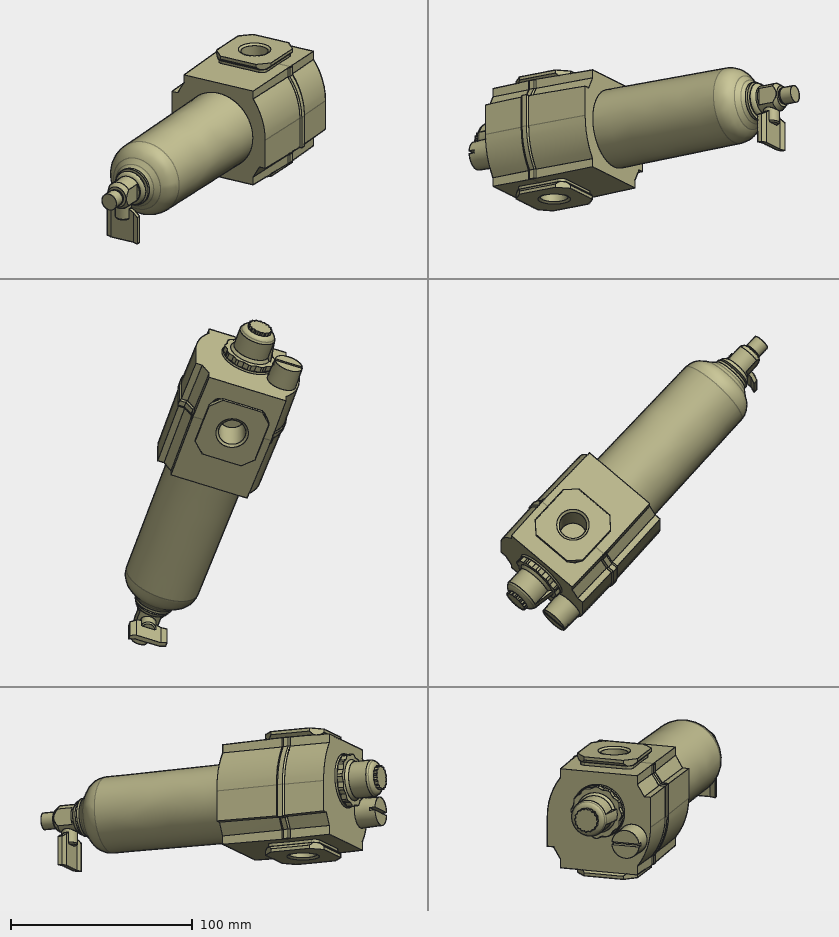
import cadquery as cq
import math


HOUSING_TOP_Y = 25.8
HOUSING_BOTTOM_Y = -38.7
HALF_HEIGHT = 28.7
NECK_HALF_X = 22.8
SIDE_HALF_X = 30.5
NECK_END_Z = 23.5
STEP_X = 26.9
STEP_Z = 17.0
BULGE_START_Z = -0.5
BOTTOM_DRAFT = 0.6
TOP_DRAFT = 0.5
BAND_HEIGHT = 0.6
BAND_HALF_HEIGHT = 28.5
BAND_FLAT_HALF = 1.5
BAND_BASE_HALF = 2.5

PORT_FACE_Z = 34.0
FLANGE_HALF_X = 17.5
FLANGE_HALF_Y = 17.7
FLANGE_CORNER = 6.1
FLANGE_RIM = 1.8
FLANGE_SLOPE = 1.8
PORT_NECK_HALF = 15.3
PORT_NECK_FILLET = 3.3
PORT_NECK_EMBED = 2.0
PORT_RADIUS = 7.5
PORT_MOUTH_RADIUS = 9.0
PORT_MOUTH_DEPTH = 1.0
PORT_DEPTH = 20.4

BOWL_TOP_RADIUS = 22.0
BOWL_END_RADIUS = 21.2
DOME_START_Y = -116.5
DOME_END_Y = -126.2
DOME_END_RADIUS = 15.0
CONE_END_RADIUS = 12.2
CONE_END_Y = -128.6
BOWL_LIP_RADIUS = 10.5
BOWL_LIP_Y = -130.5
BOWL_BOTTOM_Y = -131.9

COLLAR_TOP_RADIUS = 8.3
COLLAR_RADIUS = 9.8
COLLAR_RIM_Y = -133.0
COLLAR_BULGE_RADIUS = 9.2
COLLAR_BULGE_Y = -134.5
VALVE_RADIUS = 7.7
VALVE_TOP_Y = -135.5
VALVE_CHAMFER_Y = -145.3
VALVE_BOTTOM_Y = -148.0
VALVE_END_RADIUS = 6.0
VALVE_FLAT_HALF_X = 6.1
VALVE_FLAT_TOP_Y = -136.5
STEM_RADIUS = 4.7
STEM_NECK_RADIUS = 4.3
STEM_TOP_Y = -149.0
STEM_BOTTOM_Y = -156.0
OUTLET_Y = -140.8
OUTLET_RADIUS = 4.5
OUTLET_END_Z = -14.9
OUTLET_CHAMFER = 0.8
WING_THICKNESS = 2.5
WING_HALF_X = 10.4
WING_BEND_X = 7.1
WING_BEND_OFFSET = 1.2
WING_BOTTOM_Z = -27.7
WING_TIP_Z = -11.8
WING_PEAK_Z = -6.0

KNOB_Z = 6.3
KNOB_BASE_RADIUS = 15.0
RING_RADIUS = 14.7
RING_BOTTOM_Y = 26.9
RING_TOP_Y = 30.1
FLARE_RADIUS = 11.4
FLARE_TOP_Y = 32.0
KNOB_RADIUS = 10.2
KNOB_EDGE_Y = 42.3
SHOULDER_RADIUS = 9.5
SHOULDER_Y = 43.5
CROWN_RADIUS = 6.7
CROWN_BOTTOM_Y = 45.4
CROWN_TOP_Y = 47.5
SHOULDER_MID_RADIUS = 8.3
SHOULDER_MID_Y = 44.8
RING_NOTCHES = 12
RING_NOTCH_DEPTH = 1.0
RING_CREST_ANGLE = 6.0
CROWN_NOTCHES = 16
CROWN_NOTCH_DEPTH = 0.6
CROWN_CREST_ANGLE = 3.0
RIB_HALF_WIDTH = 3.0
RIB_FOOT_RADIUS = 12.2

PLUG_X = -19.7
PLUG_Z = -8.0
PLUG_TOP_Y = 38.0
PLUG_TOP_RADIUS = 8.0
PLUG_FOOT_RADIUS = 8.3
SLOT_WIDTH = 1.6
SLOT_DEPTH = 3.3


def box_between(x_range, y_range, z_range):
    """Axis-aligned box from (low, high) pairs."""
    (x0, x1), (y0, y1), (z0, z1) = x_range, y_range, z_range
    return cq.Workplane("XY").box(x1 - x0, y1 - y0, z1 - z0, centered=False).translate((x0, y0, z0))


def spin(profile):
    """Turn a closed (radius, Y) profile about the Y axis."""
    return profile.close().revolve(360, (0, 0, 0), (0, 1, 0))


def housing_outline(y, growth):
    """Cross-section wire at height y, enlarged by growth; a half turn about Y maps it onto itself."""
    neck_x = NECK_HALF_X + growth
    side_x = SIDE_HALF_X + growth
    top_z = HALF_HEIGHT + growth
    step_x = STEP_X + growth
    step_z = STEP_Z + growth
    plane = cq.Plane(origin=(0, y, 0), xDir=(1, 0, 0), normal=(0, -1, 0))
    outline = cq.Workplane(plane).moveTo(neck_x, top_z)
    for side in (-1, 1):
        outline = (
            outline
            .lineTo(side * neck_x, -side * top_z)
            .lineTo(side * neck_x, -side * NECK_END_Z)
            .lineTo(side * step_x, -side * step_z)
            .lineTo(side * side_x, -side * step_z)
            .lineTo(side * side_x, -side * BULGE_START_Z)
            .tangentArcPoint((side * neck_x, side * NECK_END_Z), relative=False)
            .lineTo(side * neck_x, side * top_z)
        )
    return outline.wire().val()


def housing_slab(y0, growth0, y1, growth1):
    """Stretch of the housing between two cross-sections."""
    outlines = [housing_outline(y0, growth0), housing_outline(y1, growth1)]
    return cq.Workplane(obj=cq.Solid.makeLoft(outlines, True))


def make_band():
    """Raised band around the two sides at the parting plane."""
    band = housing_slab(-BAND_FLAT_HALF, BAND_HEIGHT, BAND_FLAT_HALF, BAND_HEIGHT)
    for side in (-1, 1):
        band = band.union(
            housing_slab(side * BAND_FLAT_HALF, BAND_HEIGHT, side * BAND_BASE_HALF, 0)
        )
    reach_x = (-2 * SIDE_HALF_X, 2 * SIDE_HALF_X)
    reach_y = (-BAND_BASE_HALF, BAND_BASE_HALF)
    return band.intersect(box_between(reach_x, reach_y, (-BAND_HALF_HEIGHT, BAND_HALF_HEIGHT)))


def make_port_flange():
    """Upper port: octagonal flange, sloped underneath, on a square neck with rounded corners."""
    rim_bottom_z = PORT_FACE_Z - FLANGE_RIM
    neck_root_z = HALF_HEIGHT - PORT_NECK_EMBED
    flange = (
        cq.Workplane("XY", origin=(0, 0, rim_bottom_z - FLANGE_SLOPE))
        .rect(2 * FLANGE_HALF_X, 2 * FLANGE_HALF_Y)
        .extrude(FLANGE_RIM + FLANGE_SLOPE)
        .faces("<Z").chamfer(FLANGE_SLOPE)
    )
    octagon = (
        cq.Workplane("XY")
        .rect(2 * FLANGE_HALF_X, 2 * FLANGE_HALF_Y)
        .extrude(PORT_FACE_Z)
        .edges("|Z").chamfer(FLANGE_CORNER)
    )
    neck = (
        cq.Workplane("XY", origin=(0, 0, neck_root_z))
        .rect(2 * PORT_NECK_HALF, 2 * PORT_NECK_HALF)
        .extrude(rim_bottom_z - neck_root_z)
        .edges("|Z").fillet(PORT_NECK_FILLET)
    )
    return flange.intersect(octagon).union(neck)


def make_port_bore():
    """Blind bore of the upper port with its conical mouth."""
    return (
        cq.Workplane("XZ")
        .moveTo(0, PORT_FACE_Z)
        .lineTo(PORT_MOUTH_RADIUS, PORT_FACE_Z)
        .lineTo(PORT_RADIUS, PORT_FACE_Z - PORT_MOUTH_DEPTH)
        .lineTo(PORT_RADIUS, PORT_FACE_Z - PORT_DEPTH)
        .lineTo(0, PORT_FACE_Z - PORT_DEPTH)
        .close()
        .revolve(360, (0, 0, 0), (0, 1, 0))
    )


def make_housing():
    lower = housing_slab(HOUSING_BOTTOM_Y, -BOTTOM_DRAFT, 0, 0)
    upper = housing_slab(0, 0, HOUSING_TOP_Y, -TOP_DRAFT)
    body = lower.union(upper).union(make_band())
    flange = make_port_flange()
    bore = make_port_bore()
    body = body.union(flange).union(flange.mirror("XY"))
    return body.cut(bore).cut(bore.mirror("XY"))


def make_bowl():
    dome_depth = DOME_START_Y - DOME_END_Y
    dome_inset = BOWL_END_RADIUS - DOME_END_RADIUS
    dome_radius = (dome_depth**2 + dome_inset**2) / (2 * dome_inset)
    half_turn = math.asin(dome_depth / dome_radius) / 2
    dome_mid = (
        BOWL_END_RADIUS - dome_radius * (1 - math.cos(half_turn)),
        DOME_START_Y - dome_radius * math.sin(half_turn),
    )
    return spin(
        cq.Workplane("XY")
        .moveTo(0, HOUSING_BOTTOM_Y)
        .lineTo(BOWL_TOP_RADIUS, HOUSING_BOTTOM_Y)
        .lineTo(BOWL_END_RADIUS, DOME_START_Y)
        .threePointArc(dome_mid, (DOME_END_RADIUS, DOME_END_Y))
        .lineTo(CONE_END_RADIUS, CONE_END_Y)
        .tangentArcPoint((BOWL_LIP_RADIUS, BOWL_LIP_Y), relative=False)
        .lineTo(BOWL_LIP_RADIUS, BOWL_BOTTOM_Y)
        .lineTo(0, BOWL_BOTTOM_Y)
    )


def make_valve_core():
    """Turned part of the drain valve with a flat on each side."""
    core = spin(
        cq.Workplane("XY")
        .moveTo(0, BOWL_BOTTOM_Y)
        .lineTo(COLLAR_TOP_RADIUS, BOWL_BOTTOM_Y)
        .lineTo(COLLAR_RADIUS, COLLAR_RIM_Y)
        .threePointArc((COLLAR_BULGE_RADIUS, COLLAR_BULGE_Y), (VALVE_RADIUS, VALVE_TOP_Y))
        .lineTo(VALVE_RADIUS, VALVE_CHAMFER_Y)
        .lineTo(VALVE_END_RADIUS, VALVE_BOTTOM_Y)
        .lineTo(STEM_NECK_RADIUS, VALVE_BOTTOM_Y)
        .lineTo(STEM_NECK_RADIUS, STEM_TOP_Y)
        .lineTo(STEM_RADIUS, STEM_TOP_Y)
        .lineTo(STEM_RADIUS, STEM_BOTTOM_Y)
        .lineTo(0, STEM_BOTTOM_Y)
    )
    flat = box_between(
        (VALVE_FLAT_HALF_X, COLLAR_RADIUS),
        (STEM_BOTTOM_Y, VALVE_FLAT_TOP_Y),
        (-COLLAR_RADIUS, COLLAR_RADIUS),
    )
    return core.cut(flat).cut(flat.mirror("YZ"))


def make_outlet():
    """Round boss pointing along -Z."""
    return (
        cq.Workplane("XY", origin=(0, OUTLET_Y, OUTLET_END_Z))
        .circle(OUTLET_RADIUS)
        .extrude(-OUTLET_END_Z)
        .faces("<Z").chamfer(OUTLET_CHAMFER)
    )


def make_wing():
    """Thumb plate with oppositely bent tips and a top edge that slopes down to each tip."""
    spine = [
        (-WING_HALF_X, OUTLET_Y + WING_BEND_OFFSET),
        (-WING_BEND_X, OUTLET_Y),
        (WING_BEND_X, OUTLET_Y),
        (WING_HALF_X, OUTLET_Y - WING_BEND_OFFSET),
    ]
    half = WING_THICKNESS / 2
    near_side = [(x, y - half) for x, y in spine]
    far_side = [(x, y + half) for x, y in reversed(spine)]
    plate = (
        cq.Workplane("XY", origin=(0, 0, WING_BOTTOM_Z))
        .polyline(near_side + far_side).close()
        .extrude(WING_PEAK_Z - WING_BOTTOM_Z)
    )
    gable = (
        cq.Workplane("XZ", origin=(0, OUTLET_Y, 0))
        .polyline([
            (-WING_HALF_X, WING_BOTTOM_Z),
            (WING_HALF_X, WING_BOTTOM_Z),
            (WING_HALF_X, WING_TIP_Z),
            (0, WING_PEAK_Z),
            (-WING_HALF_X, WING_TIP_Z),
        ]).close()
        .extrude(2 * WING_THICKNESS, both=True)
    )
    return plate.intersect(gable)


def make_drain_valve():
    return make_valve_core().union(make_outlet()).union(make_wing())


def cut_notches(body, count, radius, depth, crest_angle, bottom_y, top_y):
    """Cut evenly spaced V notches into a rim about the Y axis, leaving a crest on the X and Z axes."""
    pitch = 360 / count
    half_angle = math.radians((pitch - crest_angle) / 2)
    mouth_x = radius * math.cos(half_angle)
    mouth_z = radius * math.sin(half_angle)
    root_x = radius - depth
    outside_x = radius + depth
    notch = (
        cq.Workplane("ZX", origin=(0, bottom_y, 0))
        .polyline([(0, root_x), (mouth_z, mouth_x), (mouth_z, outside_x),
                   (-mouth_z, outside_x), (-mouth_z, mouth_x)]).close()
        .extrude(top_y - bottom_y)
    )
    for index in range(count):
        body = body.cut(notch.rotate((0, 0, 0), (0, 1, 0), (index + 0.5) * pitch))
    return body


def make_knob_rib():
    """Tapered rib on the -X side of the knob, widening towards the ring."""
    cone = spin(
        cq.Workplane("XY")
        .moveTo(0, RING_TOP_Y)
        .lineTo(RIB_FOOT_RADIUS, RING_TOP_Y)
        .lineTo(KNOB_RADIUS, KNOB_EDGE_Y)
        .lineTo(0, KNOB_EDGE_Y)
    )
    strip = box_between(
        (-RIB_FOOT_RADIUS, 0), (RING_TOP_Y, KNOB_EDGE_Y), (-RIB_HALF_WIDTH, RIB_HALF_WIDTH)
    )
    return cone.intersect(strip)


def make_knob():
    knob = spin(
        cq.Workplane("XY")
        .moveTo(0, HOUSING_TOP_Y)
        .lineTo(KNOB_BASE_RADIUS, HOUSING_TOP_Y)
        .lineTo(RING_RADIUS, RING_BOTTOM_Y)
        .lineTo(RING_RADIUS, RING_TOP_Y)
        .lineTo(FLARE_RADIUS, RING_TOP_Y)
        .lineTo(KNOB_RADIUS, FLARE_TOP_Y)
        .lineTo(KNOB_RADIUS, KNOB_EDGE_Y)
        .lineTo(SHOULDER_RADIUS, SHOULDER_Y)
        .threePointArc((SHOULDER_MID_RADIUS, SHOULDER_MID_Y), (CROWN_RADIUS, CROWN_BOTTOM_Y))
        .lineTo(CROWN_RADIUS, CROWN_TOP_Y)
        .lineTo(0, CROWN_TOP_Y)
    )
    knob = cut_notches(
        knob, RING_NOTCHES, RING_RADIUS, RING_NOTCH_DEPTH, RING_CREST_ANGLE, RING_BOTTOM_Y, RING_TOP_Y
    )
    knob = cut_notches(
        knob, CROWN_NOTCHES, CROWN_RADIUS, CROWN_NOTCH_DEPTH, CROWN_CREST_ANGLE,
        CROWN_BOTTOM_Y, CROWN_TOP_Y,
    )
    return knob.union(make_knob_rib()).translate((0, 0, KNOB_Z))


def make_plug():
    """Slightly tapered fill plug with a screwdriver slot along X."""
    plug = spin(
        cq.Workplane("XY")
        .moveTo(0, HOUSING_TOP_Y)
        .lineTo(PLUG_FOOT_RADIUS, HOUSING_TOP_Y)
        .lineTo(PLUG_TOP_RADIUS, PLUG_TOP_Y)
        .lineTo(0, PLUG_TOP_Y)
    )
    slot = box_between(
        (-PLUG_FOOT_RADIUS, PLUG_FOOT_RADIUS),
        (PLUG_TOP_Y - SLOT_DEPTH, PLUG_TOP_Y),
        (-SLOT_WIDTH / 2, SLOT_WIDTH / 2),
    )
    return plug.cut(slot).translate((PLUG_X, 0, PLUG_Z))


housing = make_housing()
bowl = make_bowl()
drain_valve = make_drain_valve()
knob = make_knob()
plug = make_plug()

result = cq.Compound.makeCompound([
    *housing.solids().vals(),
    *bowl.solids().vals(),
    *drain_valve.solids().vals(),
    *knob.solids().vals(),
    *plug.solids().vals(),
])